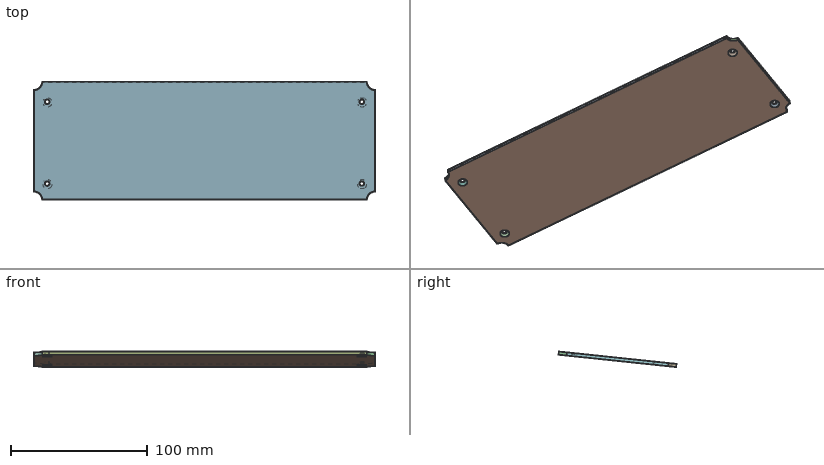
import cadquery as cq

length = 249.4
width = 86.5
thickness = 2.5
tilt_angle = 6.0

corner_notch_radius = 6.0

hole_diameter = 3.2
countersink_diameter = 6.7
countersink_angle = 90.0
hole_spacing_x = 230.0
hole_spacing_y = 60.0
hole_pattern_shift_y = -1.5


def make_plate():
    """Rectangular plate centred on the origin."""
    return cq.Workplane("XY").box(length, width, thickness)


def cut_corner_notches(plate):
    """Remove a quarter circle centred on each corner."""
    return (
        plate.faces(">Z")
        .workplane()
        .rect(length, width, forConstruction=True)
        .vertices()
        .circle(corner_notch_radius)
        .cutThruAll()
    )


def cut_screw_holes(plate):
    """Drill the four holes from the underside."""
    return (
        plate.faces("<Z")
        .workplane(origin=(0, hole_pattern_shift_y, 0))
        .rect(hole_spacing_x, hole_spacing_y, forConstruction=True)
        .vertices()
        .cskHole(hole_diameter, countersink_diameter, countersink_angle)
    )


level_plate = cut_screw_holes(cut_corner_notches(make_plate()))

result = level_plate.rotate((0, 0, 0), (1, 0, 0), -tilt_angle)